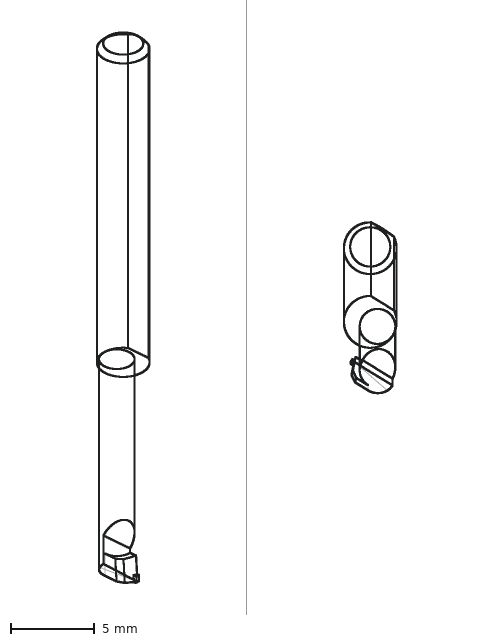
import cadquery as cq

total_length = 38.1
shank_radius = 1.58
shank_start = 15.25
flat_offset = 1.353
end_chamfer = 0.4

neck_radius = 1.05
neck_x = neck_radius - shank_radius

relief_ramp_bottom = 2.15
relief_ramp_top = 3.12

head_top = 1.83
head_taper = 0.1
head_flat_end = 0.42
flank_x = 0.85
flank_y = 0.8
head_side = 1.15
nose_x = 1.25
nose_top = 0.55
nose_bottom = 0.1
nose_tip_x = 1.1
nose_depth = 0.23

end_rise_x = 0.095
end_rise_y = 0.23


def make_shank():
    """Round bar with a chamfered end and one flat along its +Y side."""
    length = total_length - shank_start
    bar = cq.Workplane("XY").workplane(offset=shank_start).circle(shank_radius).extrude(length)
    bar = bar.faces(">Z").chamfer(end_chamfer)
    side = 2 * shank_radius
    keep = (
        cq.Workplane("XY").workplane(offset=shank_start)
        .center(0, flat_offset - shank_radius).rect(side, side).extrude(length)
    )
    return bar.intersect(keep)


def make_neck():
    """Round neck, ramped down to a half-round section at the tip."""
    neck = cq.Workplane("XY").center(neck_x, 0).circle(neck_radius).extrude(shank_start)
    relief = (
        cq.Workplane("YZ")
        .polyline([
            (0, 0),
            (neck_radius, 0),
            (neck_radius, relief_ramp_top),
            (0, relief_ramp_bottom),
        ])
        .close().extrude(shank_radius, both=True)
    )
    return neck.cut(relief)


def head_section(taper):
    """Plan outline of the head, from the neck axis out to the side flank."""
    return [
        (neck_x, 0),
        (neck_x, -neck_radius),
        (head_flat_end - taper, -neck_radius),
        (flank_x - taper, -flank_y),
        (head_side - taper, 0),
    ]


def make_head():
    """Tapered head with a small cutting nose at its lower outer corner."""
    head = (
        cq.Workplane("XY").polyline(head_section(0)).close()
        .workplane(offset=head_top).polyline(head_section(head_taper)).close()
        .loft(ruled=True, combine=True)
    )
    nose = (
        cq.Workplane("XZ")
        .polyline([
            (neck_x, 0),
            (nose_tip_x, 0),
            (nose_x, nose_bottom),
            (nose_x, nose_top),
            (neck_x, nose_top),
        ])
        .close().extrude(nose_depth)
    )
    return head.union(nose)


def end_clearance():
    """Two wedges under the tip, rising towards both -X and -Y from the nose tip."""
    slope_x = (
        cq.Workplane("XZ")
        .polyline([(nose_tip_x, 0), (-shank_radius, 0), (-shank_radius, end_rise_x)])
        .close().extrude(shank_radius)
    )
    slope_y = (
        cq.Workplane("YZ").workplane(offset=-shank_radius)
        .polyline([(0, 0), (-neck_radius, 0), (-neck_radius, end_rise_y)])
        .close().extrude(shank_radius + nose_x)
    )
    return slope_x.union(slope_y)


result = make_shank().union(make_neck()).union(make_head()).cut(end_clearance())